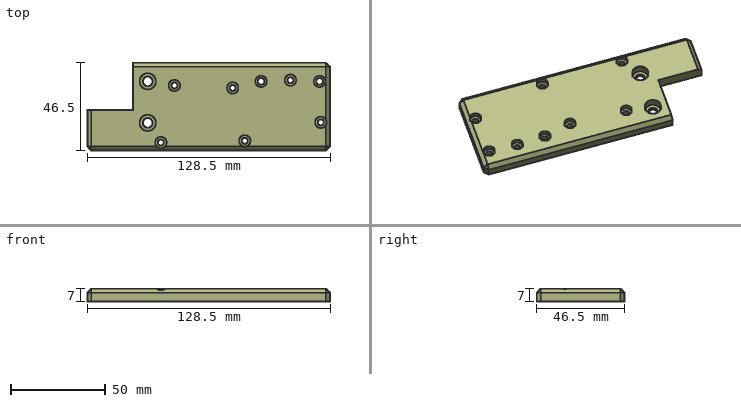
import cadquery as cq

length = 128.5
width = 46.5
thickness = 7.0
notch_length = 24.2
tongue_width = 21.6
chamfer = 2.2

large_bore = 5.0
large_head = 8.6
large_head_depth = 5.0
large_x = 32.0
large_lower_y = 14.6
upper_y = 36.6
large_points = [(large_x, large_lower_y), (large_x, upper_y)]

small_head = 6.0
small_head_depth = 3.0
narrow_bore = 3.1
wide_bore = 3.5
narrow_points = [
    (38.9, 4.2),
    (46.1, 34.5),
    (77.0, 33.2),
    (83.4, 5.1),
    (107.5, 37.3),
    (123.6, 14.9),
]
wide_points = [(92.0, upper_y), (123.0, upper_y)]


def make_plate():
    """L-shaped plate, chamfered on its outer sides and left sharp around the notch."""
    plate = (
        cq.Workplane("XY")
        .moveTo(0, 0)
        .lineTo(length, 0)
        .lineTo(length, width)
        .lineTo(notch_length, width)
        .lineTo(notch_length, tongue_width)
        .lineTo(0, tongue_width)
        .close()
        .extrude(thickness)
    )
    top_edges = plate.faces(">Z").edges("<X or >X or <Y or >Y")
    right_corners = plate.edges("|Z and >X")
    lower_left_corner = plate.edges("|Z and <X").edges("<Y")
    return top_edges.add(right_corners).add(lower_left_corner).chamfer(chamfer)


def counterbored_holes(plate, points, bore, head, head_depth):
    """Cut through holes with flat head recesses measured down from the top face."""
    return (
        plate.copyWorkplane(cq.Workplane("XY", origin=(0, 0, thickness)))
        .pushPoints(points)
        .cboreHole(bore, head, head_depth)
    )


result = make_plate()
result = counterbored_holes(result, large_points, large_bore, large_head, large_head_depth)
result = counterbored_holes(result, narrow_points, narrow_bore, small_head, small_head_depth)
result = counterbored_holes(result, wide_points, wide_bore, small_head, small_head_depth)